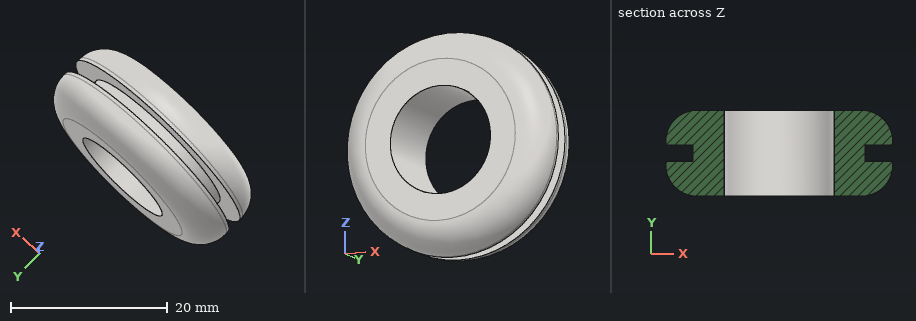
import cadquery as cq

outer_diameter = 29.0
groove_diameter = 22.0
bore_diameter = 14.0
total_width = 11.0
groove_width = 2.0
edge_radius = 4.0


def cylinder_along_y(diameter, length):
    """Solid cylinder on the Y axis, centred on the origin."""
    end_plane = cq.Workplane("XZ", origin=(0, length / 2, 0))
    return end_plane.circle(diameter / 2).extrude(length)


def rounded_body():
    """Full-width disc with both outer edges rounded."""
    return cylinder_along_y(outer_diameter, total_width).edges("%CIRCLE").fillet(edge_radius)


def panel_groove():
    """Ring of material removed from the rim, midway between the flanges."""
    groove_floor = cylinder_along_y(groove_diameter, groove_width)
    return cylinder_along_y(outer_diameter, groove_width).cut(groove_floor)


bore = cylinder_along_y(bore_diameter, total_width)

result = rounded_body().cut(panel_groove()).cut(bore)